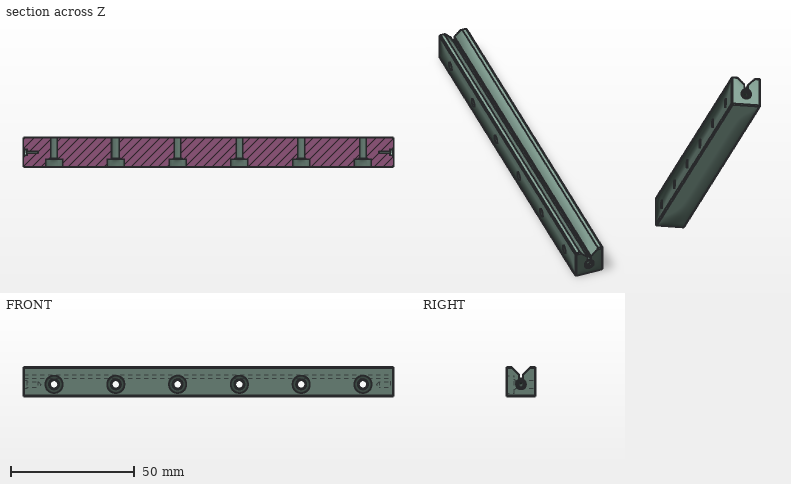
import cadquery as cq

length = 150.0
width = 12.0
height = 12.0
edge_chamfer = 0.52

groove_half_width = 3.9
relief_half_width = 0.8
relief_depth = 4.6
groove_depth = groove_half_width - relief_half_width

hole_count = 6
hole_pitch = length / hole_count
hole_height = 5.0
hole_diameter = 3.3
hole_mouth_diameter = 4.2
counterbore_diameter = 7.0
counterbore_depth = 3.2

end_mouth_diameter = 4.0
end_hole_diameter = 3.2
end_hole_depth = 1.5
pilot_diameter = 2.2
pilot_depth = 6.0


def make_block():
    """Rail blank, chamfered on all outer edges, with its base on Z = 0."""
    block = cq.Workplane("XY").box(length, width, height, centered=(True, True, False))
    return block.edges().chamfer(edge_chamfer)


def make_groove():
    """Cutter for the V groove and its relief slot, running the full length."""
    outline = [
        (-groove_half_width, height),
        (-relief_half_width, height - groove_depth),
        (-relief_half_width, height - relief_depth),
        (relief_half_width, height - relief_depth),
        (relief_half_width, height - groove_depth),
        (groove_half_width, height),
    ]
    profile = cq.Workplane("YZ").polyline(outline).close()
    return profile.extrude(length / 2, both=True)


def make_taper(end_radius, mouth_radius, start, direction):
    """45-degree cone that narrows from the mouth radius to the end radius."""
    return cq.Solid.makeCone(mouth_radius, end_radius, mouth_radius - end_radius, start, direction)


def make_mounting_hole(x):
    """Through hole along Y with a counterbore on the -Y side."""
    inward = cq.Vector(0, 1, 0)
    front = cq.Vector(x, -width / 2, hole_height)
    floor = front + inward * counterbore_depth
    bore = cq.Solid.makeCylinder(hole_diameter / 2, width, front, inward)
    counterbore = cq.Solid.makeCylinder(counterbore_diameter / 2, counterbore_depth, front, inward)
    countersink = make_taper(hole_diameter / 2, hole_mouth_diameter / 2, floor, inward)
    return cq.Workplane(bore.fuse(counterbore, countersink))


def make_end_hole(side):
    """Countersunk blind hole in the end face at X = side * length / 2, with a conical-tipped pilot."""
    inward = cq.Vector(-side, 0, 0)
    mouth = cq.Vector(side * length / 2, 0, hole_height)
    countersink = make_taper(end_hole_diameter / 2, end_mouth_diameter / 2, mouth, inward)
    bore = cq.Solid.makeCylinder(end_hole_diameter / 2, end_hole_depth, mouth, inward)
    pilot = cq.Solid.makeCylinder(pilot_diameter / 2, pilot_depth, mouth, inward)
    tip = make_taper(0, pilot_diameter / 2, mouth + inward * pilot_depth, inward)
    return cq.Workplane(bore.fuse(countersink, pilot, tip))


result = make_block().cut(make_groove())
for index in range(hole_count):
    result = result.cut(make_mounting_hole((index + 0.5) * hole_pitch - length / 2))
for side in (-1, 1):
    result = result.cut(make_end_hole(side))